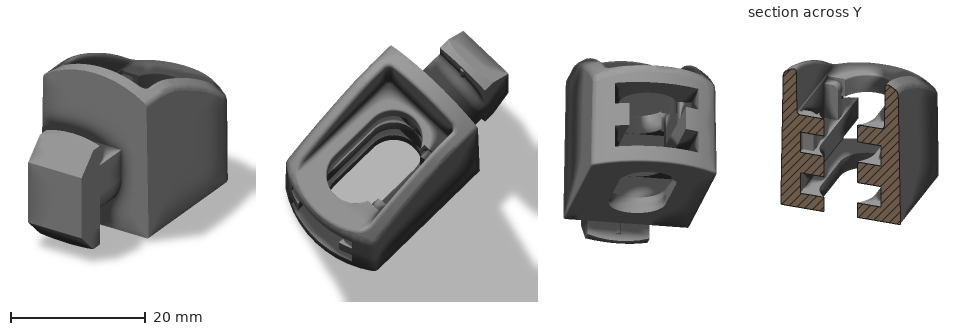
import cadquery as cq
import math


body_length = 25.0
body_height = 25.02
body_width = 19.0
draft = 1
crown_radius = 16.15
back_radius = 16.0
outer_fillet = 1.0
back_fillet = 2.0
bottom_fillet = 0.3
clearance = 14.35
tolerance = 0.05

level_length = 4.55
bend_radius = 12.78
bend_angle = math.radians(18.5)
slope_radius = 52.05
slope_angle = math.radians(40)

pocket_width = 13.7
pocket_front = 2.7
floor_height = 15.58
floor_fillet = 0.5
rim_fillet = 0.5
pocket_corner = 0.8

slot_width = 8.55
slot_length = 16.55
slot_middle = 12.55
slot_fillet = 0.3

cavity_width = 12.65
cavity_bottom = 2.48
cavity_top = 12.65
cavity_front = 4.27
ledge_bottom = 5.8
ledge_top = 9.35

notch_inner = -4.0
notch_outer = -6.75
notch_front = 6.05
notch_back = 18.05
post_length = 1.5
post_inner = -4.55
post_top = 15.08
post_fillet = 1.0

axis_height = 8.55
head_width = 9.4
head_height = 18.02
head_end_radius = 15.0
head_thickness = 5.0
head_bevel = 4.0
head_end = -10.9
head_face = head_end + head_thickness
stem_height = 9.98
stem_radius = stem_height / 2

rib_width = 0.8
rib_rise = 0.25
rib_reach = 7.95


def box(x_range, y_range, z_range):
    """Box between the given limits along each axis."""
    sizes = [high - low for low, high in (x_range, y_range, z_range)]
    corner = (x_range[0], y_range[0], z_range[0])
    return cq.Workplane("XY").box(*sizes, centered=False).translate(corner)


def crown_cutter():
    """Everything above the crown: a circular arc section swept along the falling path."""
    front_margin = 0.35
    side_margin = 1.45
    bend_centre = (level_length, body_height - bend_radius)
    slope_centre = (
        bend_centre[0] - (slope_radius - bend_radius) * math.sin(bend_angle),
        bend_centre[1] - (slope_radius - bend_radius) * math.cos(bend_angle),
    )

    def on_circle(centre, radius, angle):
        return centre[0] + radius * math.sin(angle), centre[1] + radius * math.cos(angle)

    path = (
        cq.Workplane("YZ")
        .moveTo(-front_margin, body_height)
        .lineTo(level_length, body_height)
        .threePointArc(
            on_circle(bend_centre, bend_radius, bend_angle / 2),
            on_circle(bend_centre, bend_radius, bend_angle),
        )
        .threePointArc(
            on_circle(slope_centre, slope_radius, (bend_angle + slope_angle) / 2),
            on_circle(slope_centre, slope_radius, slope_angle),
        )
    )
    half_width = body_width / 2 + side_margin
    edge_height = body_height - crown_radius + math.sqrt(crown_radius**2 - half_width**2)
    roof = body_height + clearance
    return (
        cq.Workplane("XZ", origin=(0, -front_margin, 0))
        .moveTo(-half_width, edge_height)
        .threePointArc((0, body_height), (half_width, edge_height))
        .lineTo(half_width, roof)
        .lineTo(-half_width, roof)
        .close()
        .sweep(path)
    )


def is_rounded(edge):
    """True for edges that lie neither in the mounting face nor in the underside."""
    limits = edge.BoundingBox()
    return limits.ymax > tolerance and limits.zmax > tolerance


def body_blank():
    """Drafted block with a round back and a falling crown, rounded except at the mounting face."""
    half_width = body_width / 2
    half_top = half_width - body_height * math.tan(math.radians(draft))
    corner = body_length - back_radius + math.sqrt(back_radius**2 - half_width**2)
    cross_section = (
        cq.Workplane("XZ")
        .polyline([(-half_width, 0), (half_width, 0), (half_top, body_height), (-half_top, body_height)])
        .close()
        .extrude(-body_length)
    )
    plan = (
        cq.Workplane("XY")
        .moveTo(-half_width, 0)
        .lineTo(half_width, 0)
        .lineTo(half_width, corner)
        .threePointArc((0, body_length), (-half_width, corner))
        .close()
        .extrude(body_height)
    )
    block = cross_section.intersect(plan).cut(crown_cutter())
    back_edge = cq.selectors.NearestToPointSelector((0, body_length, floor_height))
    block = block.edges(back_edge).fillet(back_fillet)
    block = block.edges().filter(is_rounded).fillet(outer_fillet)
    return block.faces("<Z").edges("not <Y").fillet(bottom_fillet)


def is_pocket_rim(edge):
    """True for edges where the pocket wall meets the crown."""
    limits = edge.BoundingBox()
    in_width = max(-limits.xmin, limits.xmax) < pocket_width / 2 + rim_fillet
    behind_front = limits.ymin > pocket_front - rim_fillet
    above_floor = limits.zmin > floor_height + 2 * floor_fillet
    return in_width and behind_front and above_floor


def cut_pocket(body):
    """Pocket in the crown, open at the back, with rounded corners, rim and floor."""
    pocket_length = body_length + clearance - pocket_front
    outline = cq.Sketch().rect(pocket_width, pocket_length).vertices("<Y").fillet(pocket_corner)
    pocket = (
        cq.Workplane("XY", origin=(0, pocket_front + pocket_length / 2, floor_height))
        .placeSketch(outline)
        .extrude(body_height + clearance - floor_height, taper=-draft)
        .faces("<Z")
        .edges("not >Y")
        .fillet(floor_fillet)
    )
    body = body.cut(pocket)
    return body.edges().filter(is_pocket_rim).fillet(rim_fillet)


def is_slot_rim(edge):
    """True for the edges of the slot in the pocket floor."""
    limits = edge.BoundingBox()
    in_floor = abs(limits.zmin - floor_height) < tolerance and abs(limits.zmax - floor_height) < tolerance
    in_width = max(-limits.xmin, limits.xmax) < slot_width / 2 + tolerance
    in_length = limits.ymax < slot_middle + slot_length / 2 + tolerance
    return in_floor and in_width and in_length


def cut_slot(body):
    """Slot through floor and underside, rounded where it meets the pocket floor."""
    slot = (
        cq.Workplane("XY", origin=(0, slot_middle, 0))
        .slot2D(slot_length, slot_width, 90)
        .extrude(floor_height)
    )
    return body.cut(slot).edges().filter(is_slot_rim).fillet(slot_fillet)


def cut_cavity(body):
    """Hollow below the floor, leaving a guide ledge along both sides."""
    behind_body = body_length + clearance
    reach = (cavity_front, behind_body)
    opening = (slot_middle, behind_body)
    wide = (-cavity_width / 2, cavity_width / 2)
    narrow = (-slot_width / 2, slot_width / 2)
    body = body.cut(box(wide, reach, (ledge_top, cavity_top)))
    body = body.cut(box(wide, reach, (cavity_bottom, ledge_bottom)))
    return body.cut(box(narrow, opening, (ledge_bottom, ledge_top)))


def cut_notch(body):
    """Notch down to the ledge, with a post rising from the ledge at each end."""
    notch = box(
        (notch_outer, notch_inner),
        (notch_front, notch_back),
        (ledge_top, floor_height + floor_fillet),
    )
    body = body.cut(notch)
    post = (
        box((notch_outer, post_inner), (0, post_length), (ledge_top, post_top))
        .edges(">X and >Z")
        .fillet(post_fillet)
    )
    for start in (notch_front, notch_back - post_length):
        body = body.union(post.translate((0, start, 0)))
    return body


def stem():
    """Rectangular stem rounded at two opposite corners so that the head can turn in its groove."""
    half_width = head_width / 2
    half_height = stem_height / 2
    return (
        box(
            (-half_width, half_width),
            (head_face, 0),
            (axis_height - half_height, axis_height + half_height),
        )
        .edges("(<X and >Z) or (>X and <Z)")
        .fillet(stem_radius)
    )


def head():
    """Round-ended head, bevelled towards its outer face."""
    tip = axis_height + head_height / 2
    base = axis_height - head_height / 2
    half_width = head_width / 2
    end_drop = head_end_radius - math.sqrt(head_end_radius**2 - half_width**2)
    rounded = (
        cq.Workplane("XZ", origin=(0, head_face, 0))
        .moveTo(-half_width, tip - end_drop)
        .threePointArc((0, tip), (half_width, tip - end_drop))
        .lineTo(half_width, base + end_drop)
        .threePointArc((0, base), (-half_width, base + end_drop))
        .close()
        .extrude(head_thickness)
    )
    bevelled = (
        cq.Workplane("YZ", origin=(-half_width, 0, 0))
        .polyline(
            [
                (head_face, base),
                (head_face, tip),
                (head_end + head_bevel, tip),
                (head_end, tip - head_bevel),
                (head_end, base + head_bevel),
                (head_end + head_bevel, base),
            ]
        )
        .close()
        .extrude(head_width)
    )
    return rounded.intersect(bevelled)


def ribs():
    """Two upright ribs with a low round back, one above and one below the stem."""
    rib = (
        cq.Workplane("XY", origin=(0, head_face, axis_height))
        .moveTo(-rib_width / 2, 0)
        .threePointArc((0, rib_rise), (rib_width / 2, 0))
        .close()
        .extrude(rib_reach)
        .faces(">Z")
        .edges("%CIRCLE")
        .chamfer(rib_rise / 2)
    )
    return rib.union(rib.mirror("XY", (0, 0, axis_height)))


body = body_blank()
body = cut_pocket(body)
body = cut_slot(body)
body = cut_cavity(body)
body = cut_notch(body)
result = body.union(stem()).union(head()).union(ribs())